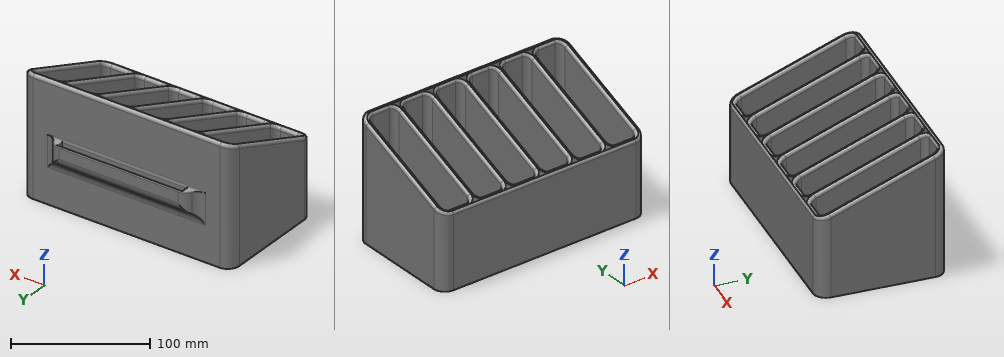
import cadquery as cq
import math

length = 185.0
depth = 100.0
front_height = 65.0
back_height = 105.0
corner_radius = 10.0

wall = 5.0
floor_thickness = 5.0
compartment_count = 6
compartment_pitch = (length - wall) / compartment_count
compartment_width = compartment_pitch - wall
compartment_depth = depth - 2 * wall
compartment_radius = corner_radius - wall
rim_flat = 0.002
rim_radius = (wall - rim_flat) / 2

loop_projection = 10.0
loop_top = 58.5
loop_root_length = 140.0
loop_root_bottom = 31.3
slot_length = 110.0
slot_back_gap = 2.0
loop_strap = 2.0
slot_width = loop_projection - slot_back_gap - loop_strap
loop_edge_radius = 0.5

flare_radius = 10.0
flare_angle = math.acos(1 - loop_projection / (2 * flare_radius))
flare_length = 2 * flare_radius * math.sin(flare_angle)

back = depth / 2
loop_outer = back + loop_projection


def make_body():
    """Round-cornered block with a top that slopes up to the back."""
    block = (
        cq.Workplane("XY")
        .rect(length, depth)
        .extrude(back_height)
        .edges("|Z")
        .fillet(corner_radius)
    )
    side_profile = (
        cq.Workplane("YZ")
        .moveTo(-back, 0)
        .lineTo(back, 0)
        .lineTo(back, back_height)
        .lineTo(-back, front_height)
        .close()
        .extrude(length / 2, both=True)
    )
    return block.intersect(side_profile)


def cut_compartments(body):
    """Row of equal round-cornered pockets, open at the top."""
    pockets = (
        cq.Workplane("XY", origin=(0, 0, floor_thickness))
        .rarray(compartment_pitch, 1, compartment_count, 1)
        .rect(compartment_width, compartment_depth)
        .extrude(back_height)
        .edges("|Z")
        .fillet(compartment_radius)
    )
    return body.cut(pockets)


def round_rim(body):
    """Round every edge of the sloping top face."""
    slope_normal = cq.Vector(0, front_height - back_height, depth)
    top_face = cq.selectors.DirectionMinMaxSelector(slope_normal, True)
    return body.faces(top_face).edges().fillet(rim_radius)


def flare_points():
    """Points on the S-curve after its root, each as (distance along the wall, height off it)."""
    arc_middle_run = flare_radius * math.sin(flare_angle / 2)
    arc_middle_rise = flare_radius * (1 - math.cos(flare_angle / 2))
    return [
        (arc_middle_run, arc_middle_rise),
        (flare_length / 2, loop_projection / 2),
        (flare_length - arc_middle_run, loop_projection - arc_middle_rise),
        (flare_length, loop_projection),
    ]


def make_loop():
    """Belt loop flared into the back wall at both ends and underneath."""
    root_x = loop_root_length / 2
    crest_x = root_x - flare_length
    lower_arc, middle, upper_arc, crest = flare_points()

    def left(point):
        return (-root_x + point[0], back + point[1])

    def right(point):
        return (root_x - point[0], back + point[1])

    def underside(point):
        return (back + point[1], loop_root_bottom + point[0])

    plan = (
        cq.Workplane("XY")
        .moveTo(-root_x, back)
        .threePointArc(left(lower_arc), left(middle))
        .threePointArc(left(upper_arc), left(crest))
        .lineTo(crest_x, loop_outer)
        .threePointArc(right(upper_arc), right(middle))
        .threePointArc(right(lower_arc), (root_x, back))
        .close()
        .extrude(loop_top)
    )
    side = (
        cq.Workplane("YZ")
        .moveTo(back, loop_root_bottom)
        .threePointArc(underside(lower_arc), underside(middle))
        .threePointArc(underside(upper_arc), underside(crest))
        .lineTo(loop_outer, loop_top)
        .lineTo(back, loop_top)
        .close()
        .extrude(root_x, both=True)
    )
    slot = (
        cq.Workplane("XY")
        .center(0, back + slot_back_gap + slot_width / 2)
        .rect(slot_length, slot_width)
        .extrude(loop_top)
    )
    loop = plan.intersect(side).cut(slot)
    return loop.faces(">Z").edges("not <Y").fillet(loop_edge_radius)


def join_loop(body, loop):
    """Attach the loop, with a small cove where its top meets the back wall."""
    wall_corner = cq.selectors.NearestToPointSelector((0, back, loop_top))
    return body.union(loop).edges(wall_corner).fillet(loop_edge_radius)


organizer = round_rim(cut_compartments(make_body()))
result = join_loop(organizer, make_loop())